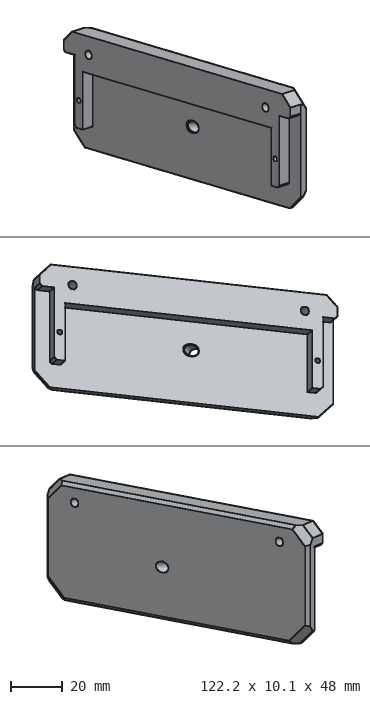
import cadquery as cq
import math

LENGTH = 122.2
DEPTH = 10.1
HEIGHT = 48.0

END_OVERHANG = 0.2
PLATE_THICKNESS = 4.5
TOP_CORNER_CUT = 4.5
BOTTOM_CORNER_CUT = 6.0
EDGE_BEVEL = 1.5
CORNER_BEVEL = 3.0

EAR_DROP = 9.2
BAR_DROP = 15.0
LEG_DROP = 38.5
LEG_INSET = 6.0
LEG_WIDTH = 4.4
FRAME_CORNER_CHAMFER = 1.0

MOUNT_DIAMETER = 3.4
MOUNT_INSET = 13.5
MOUNT_DROP = 7.5

PIN_DIAMETER = 2.0
PIN_DEPTH = 5.0
PIN_DROP = 27.1

SLANT_DIAMETER = 4.4
SLANT_ANGLE = 41.0
SLANT_RIM = 0.4
SLANT_X = 2.8
SLANT_DROP = 26.7

PLATE_FRONT = DEPTH - PLATE_THICKNESS
HALF_LENGTH = LENGTH / 2
FRAME_HALF_LENGTH = (LENGTH - END_OVERHANG) / 2
FRAME_CENTRE_X = -END_OVERHANG / 2
LEG_OUTER = FRAME_HALF_LENGTH - LEG_INSET
LEG_INNER = LEG_OUTER - LEG_WIDTH


def prism(points, y_start, y_end):
    """Extrude an XZ outline from y_start to y_end."""
    plane = cq.Workplane("XZ", origin=(0, y_start, 0))
    return plane.polyline(points).close().extrude(y_start - y_end)


def y_cylinder(diameter, x, z, depth):
    """Cylinder running inwards from the front face."""
    return cq.Workplane("XZ", origin=(x, 0, z)).circle(diameter / 2).extrude(-depth)


def make_plate():
    outline = [
        (BOTTOM_CORNER_CUT - HALF_LENGTH, 0),
        (HALF_LENGTH - BOTTOM_CORNER_CUT, 0),
        (HALF_LENGTH, BOTTOM_CORNER_CUT),
        (HALF_LENGTH, HEIGHT - TOP_CORNER_CUT - END_OVERHANG),
        (HALF_LENGTH - TOP_CORNER_CUT - END_OVERHANG, HEIGHT),
        (TOP_CORNER_CUT - HALF_LENGTH, HEIGHT),
        (-HALF_LENGTH, HEIGHT - TOP_CORNER_CUT),
        (-HALF_LENGTH, BOTTOM_CORNER_CUT),
    ]
    return prism(outline, PLATE_FRONT, DEPTH)


def make_frame():
    leg_bottom = HEIGHT - LEG_DROP
    ear_bottom = HEIGHT - EAR_DROP
    right_half = [
        (LEG_INNER, HEIGHT - BAR_DROP),
        (LEG_INNER, leg_bottom),
        (LEG_OUTER - FRAME_CORNER_CHAMFER, leg_bottom),
        (LEG_OUTER, leg_bottom + FRAME_CORNER_CHAMFER),
        (LEG_OUTER, ear_bottom),
        (FRAME_HALF_LENGTH - FRAME_CORNER_CHAMFER, ear_bottom),
        (FRAME_HALF_LENGTH, ear_bottom + FRAME_CORNER_CHAMFER),
        (FRAME_HALF_LENGTH, HEIGHT - TOP_CORNER_CUT),
        (FRAME_HALF_LENGTH - TOP_CORNER_CUT, HEIGHT),
    ]
    left_half = [(-x, z) for x, z in reversed(right_half)]
    return prism(right_half + left_half, 0, PLATE_FRONT).translate((FRAME_CENTRE_X, 0, 0))


def bevel_cutter(x, z, angle, size):
    """45 degree wedge on the back edge that passes through (x, z), facing outwards at angle in XZ."""
    wedge = (
        cq.Workplane("XY")
        .polyline([(-size, DEPTH), (0, DEPTH - size), (size, DEPTH - size), (size, DEPTH)])
        .close()
        .extrude(LENGTH, both=True)
    )
    return wedge.rotate((0, 0, 0), (0, 1, 0), -angle).translate((x, 0, z))


def bevel_back(body):
    body = body.cut(bevel_cutter(0, HEIGHT, 90, EDGE_BEVEL))
    body = body.cut(bevel_cutter(0, 0, -90, EDGE_BEVEL))
    for side, outward in ((1, 0), (-1, 180)):
        end = side * HALF_LENGTH
        frame_end = FRAME_CENTRE_X + side * FRAME_HALF_LENGTH
        body = body.cut(bevel_cutter(end, HEIGHT / 2, outward, EDGE_BEVEL))
        body = body.cut(bevel_cutter(frame_end, HEIGHT - TOP_CORNER_CUT, outward + side * 45, CORNER_BEVEL))
        body = body.cut(bevel_cutter(end, BOTTOM_CORNER_CUT, outward - side * 45, CORNER_BEVEL))
    return body


def drill_frame(body):
    mount_offset = FRAME_HALF_LENGTH - MOUNT_INSET
    pin_offset = (LEG_OUTER + LEG_INNER) / 2
    for side in (-1, 1):
        mount_x = FRAME_CENTRE_X + side * mount_offset
        pin_x = FRAME_CENTRE_X + side * pin_offset
        body = body.cut(y_cylinder(MOUNT_DIAMETER, mount_x, HEIGHT - MOUNT_DROP, DEPTH))
        body = body.cut(y_cylinder(PIN_DIAMETER, pin_x, HEIGHT - PIN_DROP, PIN_DEPTH))
    return body


def drill_slanted_hole(body):
    """Hole leaning towards +X as it goes back, with a chamfered rim on the front of the plate."""
    angle = math.radians(SLANT_ANGLE)
    axis = cq.Vector(math.sin(angle), math.cos(angle), 0)
    entry = cq.Vector(SLANT_X, PLATE_FRONT, HEIGHT - SLANT_DROP)
    reach = 2 * DEPTH
    drill = cq.Solid.makeCylinder(SLANT_DIAMETER / 2, 2 * reach, entry - axis * reach, axis)
    body = body.cut(cq.Workplane(drill))
    nearest_to_entry = cq.selectors.NearestToPointSelector(entry.toTuple())
    rim = body.edges("%ELLIPSE").edges(nearest_to_entry)
    return body.newObject(rim.vals()).chamfer(SLANT_RIM)


result = make_plate().union(make_frame())
result = bevel_back(result)
result = drill_frame(result)
result = drill_slanted_hole(result)